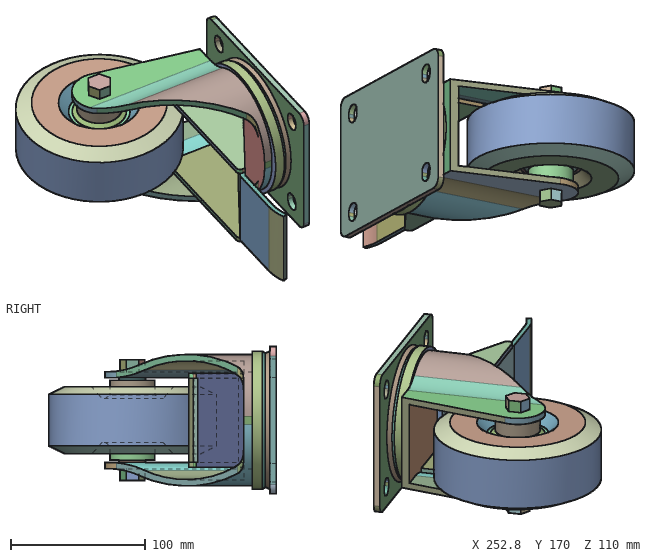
import cadquery as cq
import math


overall_length = 252.8

wheel_radius = 62.5
wheel_width = 50.0
tread_width = 38.5
wheel_face_radius = 50.5
recess_radius = 61.0 / 2
recess_floor_radius = 45.8 / 2
recess_depth = 8.5
hub_base_radius = 20.2
hub_base_height = 2.5
hub_radius = 33.5 / 2
hub_length = 59.7
spacer_radius = 20.0 / 2

swivel_x = 54.9
plate_top = 107.5
plate_thickness = 4.8
plate_length = 140.0
plate_width = 110.0
plate_corner_radius = 7.0
slot_spacing_x = 105.0
slot_spacing_z = 77.9
slot_width = 11.0
slot_length = 14.0

ring_radius = 103.2 / 2
groove_depth = 1.5
groove_lower_height = 2.3
groove_upper_height = 3.5
ring_bottom = 89.2

fork_sheet = 4.8
fork_web = 6.3
fork_leg_z = 72.5 / 2
leg_end_radius = 20.5
leg_left_lean = math.radians(11.4)
leg_right_lean = math.radians(36.1)
bulge_radius = 46.0
bulge_center_z = 3.0
bulge_blend_radius = 31.0
fork_notch_radius = 11.5

bolt_head_across_flats = 16.2
bolt_head_height = 8.8

pedal_sheet = 3.8
pedal_half_width = 31.4
pedal_bottom = 42.0
pedal_slope = math.radians(30)
flange_left = 27.3
flange_right = 131.2
flange_end_height = 5.5
flange_end_radius = 3.3
pedal_ramp_left = 69.3
toe_bend_x = 174.5
toe_bend_angle = math.radians(25)
pedal_right = overall_length - wheel_radius

plate_bottom = plate_top - plate_thickness
web_bottom = ring_bottom - fork_web


def centered_prism(sketch, depth):
    """Extrude an XY outline symmetrically about Z = 0."""
    return sketch.extrude(depth / 2, both=True)


def make_wheel():
    face_z = wheel_width / 2
    floor_z = face_z - recess_depth
    half_profile = [
        (wheel_radius, tread_width / 2),
        (wheel_face_radius, face_z),
        (recess_radius, face_z),
        (recess_floor_radius, floor_z),
        (hub_base_radius, floor_z),
        (hub_radius, floor_z + hub_base_height),
        (hub_radius, hub_length / 2),
        (spacer_radius, hub_length / 2),
        (spacer_radius, fork_leg_z),
        (0, fork_leg_z),
    ]
    lower_half = [(r, -z) for r, z in reversed(half_profile)]
    profile = cq.Workplane("XZ").polyline(half_profile + lower_half).close()
    return profile.revolve(360, (0, 0), (0, 1))


def make_plate():
    blank = cq.Workplane("XZ", origin=(swivel_x, plate_top, 0)).rect(plate_length, plate_width)
    plate = blank.extrude(plate_thickness).edges("|Y").fillet(plate_corner_radius)
    slots = (
        cq.Workplane("XZ", origin=(swivel_x, plate_top, 0))
        .rect(slot_spacing_x, slot_spacing_z, forConstruction=True)
        .vertices()
        .slot2D(slot_length, slot_width, 90)
        .extrude(plate_thickness)
    )
    return plate.cut(slots)


def make_ring():
    groove_y = plate_bottom - groove_upper_height
    profile = [
        (0, ring_bottom),
        (ring_radius, ring_bottom),
        (ring_radius, groove_y - groove_lower_height),
        (ring_radius - groove_depth, groove_y),
        (ring_radius, plate_bottom),
        (0, plate_bottom),
    ]
    half_section = cq.Workplane("XY", origin=(swivel_x, 0, 0)).polyline(profile).close()
    return half_section.revolve(360, (0, 0), (0, 1))


def fork_section(inset, left, bottom, top):
    """Prism along Y with the fork outline seen along Y, moved inward by inset.

    Each flat leg runs through a concave blend into a round bulge.
    """
    blend_center_z = fork_leg_z + bulge_blend_radius
    center_distance = bulge_radius + bulge_blend_radius
    rise = blend_center_z - bulge_center_z
    run = math.sqrt(center_distance**2 - rise**2)
    leg_z = fork_leg_z - inset
    radius = bulge_radius - inset
    blend_start_x = swivel_x - run
    blend_end_x = swivel_x - run * radius / center_distance
    blend_end_z = bulge_center_z + rise * radius / center_distance
    tip_x = swivel_x + radius

    half = (
        cq.Workplane("XZ", origin=(0, bottom, 0))
        .moveTo(left, 0)
        .lineTo(left, leg_z)
        .lineTo(blend_start_x, leg_z)
        .tangentArcPoint((blend_end_x, blend_end_z), relative=False)
        .tangentArcPoint((tip_x, bulge_center_z), relative=False)
        .lineTo(tip_x, 0)
        .close()
        .extrude(bottom - top)
    )
    return half.union(half.mirror("XY"))


def fork_side_outline():
    """Side shape of the fork: tapered legs with a round end about the axle."""
    left_tangent = (-leg_end_radius * math.cos(leg_left_lean), leg_end_radius * math.sin(leg_left_lean))
    right_tangent = (leg_end_radius * math.cos(leg_right_lean), -leg_end_radius * math.sin(leg_right_lean))
    top_left_x = left_tangent[0] + (ring_bottom - left_tangent[1]) * math.tan(leg_left_lean)

    corner_x = right_tangent[0] + (web_bottom - right_tangent[1]) * math.tan(leg_right_lean)
    notch_setback = fork_notch_radius * math.tan((math.pi / 2 - leg_right_lean) / 2)
    notch_start = (
        corner_x - notch_setback * math.sin(leg_right_lean),
        web_bottom - notch_setback * math.cos(leg_right_lean),
    )
    right = swivel_x + ring_radius
    outline = (
        cq.Workplane("XY")
        .moveTo(top_left_x, ring_bottom)
        .lineTo(*left_tangent)
        .threePointArc((0, -leg_end_radius), right_tangent)
        .lineTo(*notch_start)
        .tangentArcPoint((corner_x + notch_setback, web_bottom), relative=False)
        .lineTo(right, web_bottom)
        .lineTo(right, ring_bottom)
        .close()
    )
    return centered_prism(outline, 2 * ring_radius)


def make_fork():
    outer = fork_section(0, -leg_end_radius, -leg_end_radius, ring_bottom)
    inner = fork_section(fork_sheet, -2 * leg_end_radius, -2 * leg_end_radius, web_bottom)
    return outer.intersect(fork_side_outline()).cut(inner)


def make_bolt_heads():
    corner_diameter = bolt_head_across_flats / math.cos(math.pi / 6)
    hexagon = cq.Workplane("XY").polygon(6, corner_diameter).extrude(bolt_head_height)
    head = hexagon.rotate((0, 0, 0), (0, 0, 1), 90).translate((0, 0, fork_leg_z))
    return head.union(head.mirror("XY"))


def make_pedal():
    slope = math.tan(pedal_slope)
    ramp_height = pedal_sheet / math.cos(pedal_slope)
    flange_end_top = pedal_bottom + flange_end_height

    def ramp_top(x):
        return flange_end_top + (flange_right - x) * slope

    flange_outline = (
        cq.Workplane("XY", origin=(0, 0, pedal_half_width))
        .moveTo(flange_left, pedal_bottom)
        .lineTo(flange_right - flange_end_radius, pedal_bottom)
        .tangentArcPoint((flange_right, pedal_bottom + flange_end_radius), relative=False)
        .lineTo(flange_right, flange_end_top)
        .lineTo(flange_right - (web_bottom - flange_end_top) / slope, web_bottom)
        .lineTo(flange_left, web_bottom)
        .close()
    )
    flange = flange_outline.extrude(pedal_sheet)

    tread_top = pedal_bottom + pedal_sheet
    top_bend_x = flange_right + (flange_end_top - tread_top) / slope
    bottom_bend_x = flange_right + (flange_end_top - ramp_height - pedal_bottom) / slope
    toe_radius = (pedal_right - toe_bend_x) / math.sin(toe_bend_angle)
    toe_inner_radius = toe_radius - pedal_sheet
    toe_center_y = pedal_bottom + toe_radius

    def toe_end(radius):
        return (
            toe_bend_x + radius * math.sin(toe_bend_angle),
            toe_center_y - radius * math.cos(toe_bend_angle),
        )

    def toe_middle(radius):
        return (
            toe_bend_x + radius * math.sin(toe_bend_angle / 2),
            toe_center_y - radius * math.cos(toe_bend_angle / 2),
        )

    sheet_outline = (
        cq.Workplane("XY")
        .moveTo(pedal_ramp_left, ramp_top(pedal_ramp_left) - ramp_height)
        .lineTo(bottom_bend_x, pedal_bottom)
        .lineTo(toe_bend_x, pedal_bottom)
        .threePointArc(toe_middle(toe_radius), toe_end(toe_radius))
        .lineTo(*toe_end(toe_inner_radius))
        .threePointArc(toe_middle(toe_inner_radius), (toe_bend_x, tread_top))
        .lineTo(top_bend_x, tread_top)
        .lineTo(pedal_ramp_left, ramp_top(pedal_ramp_left))
        .close()
    )
    sheet = centered_prism(sheet_outline, 2 * pedal_half_width)
    return sheet.union(flange).union(flange.mirror("XY"))


result = (
    make_fork()
    .union(make_ring())
    .union(make_plate())
    .union(make_wheel())
    .union(make_bolt_heads())
    .union(make_pedal())
)